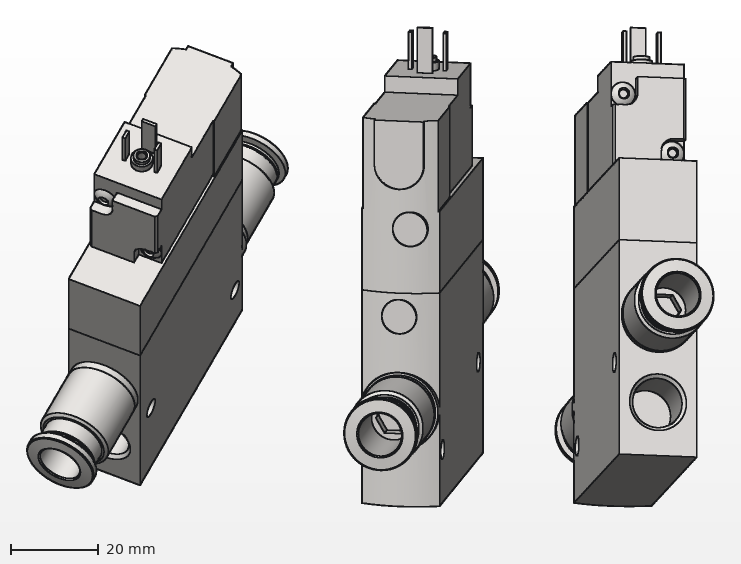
import cadquery as cq
import math


BLOCK_WIDTH = 18.0
BLOCK_DEPTH = 54.8
CROWN_RISE = 1.9
PAD_RISE = 2.2
SEAM_Z = 49.9
BLOCK_TOP = 68.9
PAD_Y = BLOCK_DEPTH + PAD_RISE

FRONT_FITTING_Z = 32.5
REAR_FITTING_Z = 22.3
FITTING_BOSS_DIA = 18.1
PORT_Z = 12.4
PORT_DIA = 11.5
PORT_MOUTH_DIA = 13.2
PORT_DEPTH = 14.7
CROSS_HOLE_DIA = 4.4
FRONT_CROSS_HOLE = (5.9, 22.5)
REAR_CROSS_HOLE = (50.9, PORT_Z)

BOSS_DIA = 8.0
BASE_BOSS_Z = 44.4
HEAD_BOSS_X = -2.5
HEAD_BOSS_Z = BLOCK_TOP - BOSS_DIA / 2

TOWER_WIDTH = 17.5
TOWER_FRONT_Y = 40.3
COIL_WIDTH = 16.9
COIL_FRONT_Y = 10.1
COIL_TOP = 90.2
COIL_GAP = 0.6
COIL_BOTTOM = BLOCK_TOP + COIL_GAP
COIL_CHAMFER = 0.5
TOWER_PAD_WIDTH = 11.4
TOWER_PAD_ARC_Z = 79.8

PLATFORM_FRONT_Y = 12.6
PLATFORM_REAR_Y = 28.9
PLATFORM_TOP = 93.9

SCREW_DIA = 5.6
SCREW_HEIGHT = 1.0
SCREW_X = (COIL_WIDTH - SCREW_DIA) / 2
UPPER_SCREW_Z = 86.5
LOWER_SCREW_Z = 73.1
POCKET_RADIUS = 2.9
SOCKET_DIA = 2.5
SOCKET_FLOOR_DIA = 2.0
SOCKET_DEPTH = 0.6

CONTACT_THICKNESS = 0.7
CONTACT_Y = 20.1
SIDE_CONTACT_X = 4.0
SIDE_CONTACT_WIDTH = 2.2
SIDE_CONTACT_TOP = 102.6
EARTH_CONTACT_Y = 24.1
EARTH_CONTACT_WIDTH = 3.5
EARTH_CONTACT_TOP = 104.5
STUD_COLLAR_DIA = 4.9
STUD_COLLAR_TOP = 95.8
STUD_DIA = 3.8
STUD_TOP = 96.8
STUD_BORE_DIA = 2.0
STUD_MOUTH_DIA = 2.5

FITTING_LENGTH = 24.1
FITTING_DIA = 17.0
COLLAR_DIA = 16.9
COLLAR_END = 1.8
BODY_END = 16.5
BODY_CHAMFER = 0.5
BODY_END_DIA = 15.4
NECK_DIA = 14.3
GROOVE_START = 20.4
GROOVE_DIA = 13.7
RING_START = 20.7
RING_END = 21.5
THROAT_DIA = 11.4
FLANGE_DIA = 16.8
FLANGE_START = 22.1
FLANGE_SIDE_END = 23.6
FLANGE_FACE_START = 23.8
FLANGE_FACE_DIA = 16.4
TUBE_BORE_DIA = 10.0
TUBE_BORE_DEPTH = 16.8
BORE_MOUTH_DIA = 10.6
HEX_ACROSS_FLATS = 6.9
HEX_DEPTH = 3.2


def box(x_range, y_range, z_range):
    """Box between the given limits."""
    size = [high - low for low, high in (x_range, y_range, z_range)]
    corner = (x_range[0], y_range[0], z_range[0])
    return cq.Workplane("XY").box(*size, centered=False).translate(corner)


def centered_box(width, y_range, z_range):
    """Box that lies symmetric about the middle plane."""
    return box((-width / 2, width / 2), y_range, z_range)


def rod_y(diameter, x, z, y_start, y_end):
    """Round rod along Y."""
    plane = cq.Workplane("XZ", origin=(x, y_start, z))
    return plane.circle(diameter / 2).extrude(y_start - y_end)


def crowned_block(z_low, z_high):
    """Piece of the block with its crowned rear face."""
    half = BLOCK_WIDTH / 2
    return (
        cq.Workplane("XY", origin=(0, 0, z_low))
        .moveTo(-half, 0)
        .lineTo(half, 0)
        .lineTo(half, BLOCK_DEPTH)
        .threePointArc((0, BLOCK_DEPTH + CROWN_RISE), (-half, BLOCK_DEPTH))
        .close()
        .extrude(z_high - z_low)
    )


def rear_boss(diameter, x, z):
    """Round boss on the crowned face, trimmed to the width of the block."""
    root_y = BLOCK_DEPTH - PAD_RISE
    trim = centered_box(BLOCK_WIDTH, (root_y, PAD_Y), (z - diameter, z + diameter))
    return rod_y(diameter, x, z, root_y, PAD_Y).intersect(trim)


def make_base():
    base = crowned_block(0, SEAM_Z)
    base = base.union(rear_boss(FITTING_BOSS_DIA, 0, REAR_FITTING_Z))
    base = base.union(rear_boss(BOSS_DIA, 0, BASE_BOSS_Z))

    port = rod_y(PORT_DIA, 0, PORT_Z, 0, PORT_DEPTH)
    port_chamfer = (PORT_MOUTH_DIA - PORT_DIA) / 2
    mouth = cq.Solid.makeCone(
        PORT_MOUTH_DIA / 2, PORT_DIA / 2, port_chamfer, cq.Vector(0, 0, PORT_Z), cq.Vector(0, 1, 0)
    )
    base = base.cut(port).cut(cq.Workplane(mouth))

    for y, z in (FRONT_CROSS_HOLE, REAR_CROSS_HOLE):
        hole = cq.Workplane("YZ", origin=(0, y, z)).circle(CROSS_HOLE_DIA / 2)
        base = base.cut(hole.extrude(BLOCK_WIDTH, both=True))
    return base


def tower():
    """Rear part of the head, which rises to the coil top, with its U-shaped pad."""
    envelope = centered_box(TOWER_WIDTH, (TOWER_FRONT_Y, PAD_Y), (BLOCK_TOP, COIL_TOP))
    body = crowned_block(BLOCK_TOP, COIL_TOP).intersect(envelope)
    pad_root_y = BLOCK_DEPTH - PAD_RISE
    pad = centered_box(TOWER_PAD_WIDTH, (pad_root_y, PAD_Y), (TOWER_PAD_ARC_Z, COIL_TOP))
    pad = pad.union(rod_y(TOWER_PAD_WIDTH, 0, TOWER_PAD_ARC_Z, pad_root_y, PAD_Y))
    return body.union(pad)


def screw_pocket(side, z, z_end):
    """Pocket open to one side of the coil; its inner corner is round about the screw axis."""
    x = side * SCREW_X
    depth = (COIL_FRONT_Y, PLATFORM_FRONT_Y)
    outer_x = side * BLOCK_WIDTH / 2
    inner_x = x - side * POCKET_RADIUS
    closed_z = z + math.copysign(POCKET_RADIUS, z - z_end)
    pocket = rod_y(2 * POCKET_RADIUS, x, z, *depth)
    to_side = box(sorted((x, outer_x)), depth, sorted((closed_z, z_end)))
    to_end = box(sorted((inner_x, outer_x)), depth, sorted((z, z_end)))
    return pocket.union(to_side).union(to_end)


def screw_head(x, z):
    """Domed screw head with a tapered socket, revolved about its axis along Y."""
    rim = SCREW_DIA / 2
    socket = SOCKET_DIA / 2
    center_depth = (rim**2 - socket**2 - SCREW_HEIGHT**2) / (2 * SCREW_HEIGHT)
    sphere_radius = math.hypot(rim, center_depth)
    middle = (rim + socket) / 2
    middle_y = center_depth - math.sqrt(sphere_radius**2 - middle**2)
    socket_floor_y = SOCKET_DEPTH - SCREW_HEIGHT
    head = (
        cq.Workplane("XY")
        .moveTo(0, 0)
        .lineTo(rim, 0)
        .threePointArc((middle, middle_y), (socket, -SCREW_HEIGHT))
        .lineTo(SOCKET_FLOOR_DIA / 2, socket_floor_y)
        .lineTo(0, socket_floor_y)
        .close()
        .revolve(360, (0, 0, 0), (0, 1, 0))
    )
    return head.translate((x, PLATFORM_FRONT_Y, z))


def coil():
    """Coil with its front cover, connector platform and two screws."""
    body = centered_box(COIL_WIDTH, (COIL_FRONT_Y, TOWER_FRONT_Y), (COIL_BOTTOM, COIL_TOP))
    body = body.faces("<Y").edges("|Z").chamfer(COIL_CHAMFER)
    body = body.union(
        centered_box(COIL_WIDTH, (PLATFORM_FRONT_Y, PLATFORM_REAR_Y), (COIL_BOTTOM, PLATFORM_TOP))
    )
    body = body.cut(screw_pocket(-1, UPPER_SCREW_Z, COIL_TOP))
    body = body.cut(screw_pocket(1, LOWER_SCREW_Z, COIL_BOTTOM))
    body = body.union(screw_head(-SCREW_X, UPPER_SCREW_Z))
    return body.union(screw_head(SCREW_X, LOWER_SCREW_Z))


def contact(x, y, width_x, width_y, top):
    """Flat contact blade standing on the platform."""
    return box(
        (x - width_x / 2, x + width_x / 2),
        (y - width_y / 2, y + width_y / 2),
        (PLATFORM_TOP, top),
    )


def stud():
    """Stepped stud with a countersunk bore between the contacts."""
    foot = cq.Workplane("XY", origin=(0, CONTACT_Y, PLATFORM_TOP))
    height = STUD_TOP - PLATFORM_TOP
    collar = foot.circle(STUD_COLLAR_DIA / 2).extrude(STUD_COLLAR_TOP - PLATFORM_TOP)
    post = foot.circle(STUD_DIA / 2).extrude(height)
    bore = foot.circle(STUD_BORE_DIA / 2).extrude(height)
    mouth = cq.Solid.makeCone(
        STUD_MOUTH_DIA / 2,
        STUD_BORE_DIA / 2,
        (STUD_MOUTH_DIA - STUD_BORE_DIA) / 2,
        cq.Vector(0, CONTACT_Y, STUD_TOP),
        cq.Vector(0, 0, -1),
    )
    return collar.union(post).cut(bore).cut(cq.Workplane(mouth))


def make_head():
    head = crowned_block(SEAM_Z, BLOCK_TOP)
    head = head.union(rear_boss(BOSS_DIA, HEAD_BOSS_X, HEAD_BOSS_Z))
    head = head.union(tower()).union(coil()).union(stud())
    for x in (-SIDE_CONTACT_X, SIDE_CONTACT_X):
        head = head.union(
            contact(x, CONTACT_Y, CONTACT_THICKNESS, SIDE_CONTACT_WIDTH, SIDE_CONTACT_TOP)
        )
    earth = contact(0, EARTH_CONTACT_Y, EARTH_CONTACT_WIDTH, CONTACT_THICKNESS, EARTH_CONTACT_TOP)
    return head.union(earth).clean()


def make_fitting():
    """Fitting with its seat at the origin and its axis along +Z."""
    bore_chamfer = (BORE_MOUTH_DIA - TUBE_BORE_DIA) / 2
    profile = [
        (0, 0),
        (COLLAR_DIA / 2, 0),
        (COLLAR_DIA / 2, COLLAR_END),
        (FITTING_DIA / 2, COLLAR_END),
        (FITTING_DIA / 2, BODY_END - BODY_CHAMFER),
        (BODY_END_DIA / 2, BODY_END),
        (NECK_DIA / 2, BODY_END),
        (NECK_DIA / 2, GROOVE_START),
        (GROOVE_DIA / 2, GROOVE_START),
        (GROOVE_DIA / 2, RING_START),
        (NECK_DIA / 2, RING_START),
        (NECK_DIA / 2, RING_END),
        (THROAT_DIA / 2, RING_END),
        (THROAT_DIA / 2, FLANGE_START),
        (FLANGE_DIA / 2, FLANGE_START),
        (FLANGE_DIA / 2, FLANGE_SIDE_END),
        (FLANGE_FACE_DIA / 2, FLANGE_FACE_START),
        (BORE_MOUTH_DIA / 2, FITTING_LENGTH),
        (TUBE_BORE_DIA / 2, FITTING_LENGTH - bore_chamfer),
        (TUBE_BORE_DIA / 2, FITTING_LENGTH - TUBE_BORE_DEPTH),
        (0, FITTING_LENGTH - TUBE_BORE_DEPTH),
    ]
    body = cq.Workplane("XZ").polyline(profile).close().revolve(360, (0, 0, 0), (0, 1, 0))
    corner_dia = HEX_ACROSS_FLATS / math.cos(math.pi / 6)
    hex_floor = FITTING_LENGTH - TUBE_BORE_DEPTH - HEX_DEPTH
    hex_socket = cq.Workplane("XY", origin=(0, 0, hex_floor)).polygon(6, corner_dia).extrude(HEX_DEPTH)
    return body.cut(hex_socket)


base = make_base()
head = make_head()

fitting_places = [
    (90, (0, 0, FRONT_FITTING_Z)),
    (-90, (0, PAD_Y, REAR_FITTING_Z)),
]
fittings = [
    make_fitting().rotate((0, 0, 0), (1, 0, 0), angle).translate(seat)
    for angle, seat in fitting_places
]

result = cq.Compound.makeCompound([base.val(), head.val(), *[fitting.val() for fitting in fittings]])